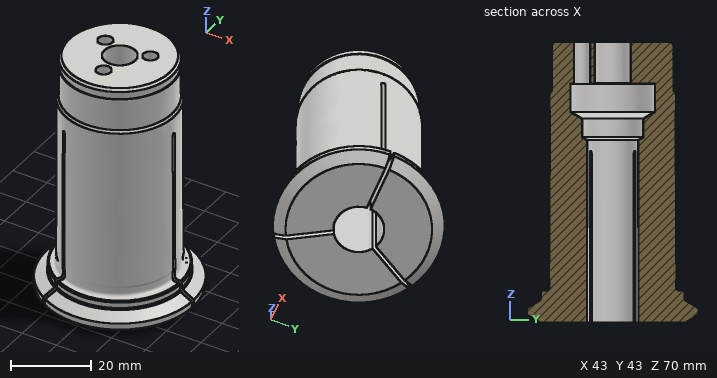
import cadquery as cq
import math

LENGTH = 70.0

FLANGE_R = 21.5
FLANGE_BEVEL_DEG = 30.0
RIM_BOTTOM_Z = 1.8
RIM_TOP_Z = 3.7
RIM_BOTTOM_BREAK = 0.5
RIM_TOP_BREAK = 0.3
RIM_BREAK_WIDTH = 0.1
COLLAR_R = 18.0
COLLAR_TOP_Z = 8.05
COLLAR_CHAMFER = 0.35
COLLAR_ROOT_HEIGHT = 0.5
COLLAR_ROOT_WIDTH = 0.175

NECK_R = 15.8
NECK_TOP_Z = 10.5
NECK_FILLET = 0.9
BODY_BOTTOM_R = 15.95
BODY_TOP_R = 15.8
BODY_TOP_Z = 57.1
BODY_EDGE_Z = 0.55
HEAD_R = 15.25
HEAD_BOTTOM_Z = 57.8
HEAD_CHAMFER = 0.7
HEAD_GROOVE_Z = 66.6
HEAD_GROOVE_HEIGHT = 0.5
HEAD_GROOVE_DEPTH = 0.15

BORE_R = 12.7 / 2
STEP_R = 7.55
STEP_BOTTOM_Z = 46.2
CHAMBER_R = 21.0 / 2
CHAMBER_BOTTOM_Z = 52.5
CHAMBER_TOP_Z = 59.5
BORE_CONE_DEG = 30.0

CENTRE_HOLE_R = 8.9 / 2
CENTRE_LIP_R = 4.2
SIDE_HOLE_COUNT = 3
SIDE_HOLE_D = 4.0
SIDE_HOLE_CIRCLE_R = 7.6
SIDE_HOLE_START_DEG = 30.0

SLOT_COUNT = 3
SLOT_W = 1.05
SLOT_TOP_Z = 52.15


def make_outside():
    """Turned outer shape, revolved from its half section."""
    bevel = math.tan(math.radians(FLANGE_BEVEL_DEG))
    rim_edge_r = FLANGE_R - RIM_BREAK_WIDTH
    cone_inner_r = COLLAR_R + COLLAR_ROOT_WIDTH
    cone_inner_z = RIM_TOP_Z + (rim_edge_r - cone_inner_r) * bevel
    bottom_r = rim_edge_r - RIM_BOTTOM_Z / bevel
    body_bottom_z = NECK_TOP_Z + BODY_EDGE_Z
    groove_top_z = HEAD_GROOVE_Z + HEAD_GROOVE_HEIGHT
    section = (
        cq.Workplane("XZ")
        .lineTo(bottom_r, 0)
        .lineTo(rim_edge_r, RIM_BOTTOM_Z)
        .lineTo(FLANGE_R, RIM_BOTTOM_Z + RIM_BOTTOM_BREAK)
        .lineTo(FLANGE_R, RIM_TOP_Z - RIM_TOP_BREAK)
        .lineTo(rim_edge_r, RIM_TOP_Z)
        .lineTo(cone_inner_r, cone_inner_z)
        .lineTo(COLLAR_R, cone_inner_z + COLLAR_ROOT_HEIGHT)
        .lineTo(COLLAR_R, COLLAR_TOP_Z - COLLAR_CHAMFER)
        .lineTo(COLLAR_R - COLLAR_CHAMFER, COLLAR_TOP_Z)
        .lineTo(NECK_R + NECK_FILLET, COLLAR_TOP_Z)
        .radiusArc((NECK_R, COLLAR_TOP_Z + NECK_FILLET), NECK_FILLET)
        .lineTo(NECK_R, NECK_TOP_Z)
        .lineTo(BODY_BOTTOM_R, body_bottom_z)
        .lineTo(BODY_TOP_R, BODY_TOP_Z)
        .lineTo(HEAD_R, HEAD_BOTTOM_Z)
        .lineTo(HEAD_R, HEAD_GROOVE_Z)
        .lineTo(HEAD_R - HEAD_GROOVE_DEPTH, groove_top_z)
        .lineTo(HEAD_R, groove_top_z)
        .lineTo(HEAD_R, LENGTH - HEAD_CHAMFER)
        .lineTo(HEAD_R - HEAD_CHAMFER, LENGTH)
        .lineTo(0, LENGTH)
        .close()
    )
    return section.revolve(360, (0, 0), (0, 1))


def make_inside():
    """Bore, chamber and centre hole as one revolved cutter with conical steps."""
    slope = math.tan(math.radians(BORE_CONE_DEG))
    step_cone = (STEP_R - BORE_R) * slope
    chamber_cone = (CHAMBER_R - STEP_R) * slope
    lip_cone = CENTRE_HOLE_R - CENTRE_LIP_R
    section = (
        cq.Workplane("XZ")
        .lineTo(BORE_R, 0)
        .lineTo(BORE_R, STEP_BOTTOM_Z - step_cone)
        .lineTo(STEP_R, STEP_BOTTOM_Z)
        .lineTo(STEP_R, CHAMBER_BOTTOM_Z - chamber_cone)
        .lineTo(CHAMBER_R, CHAMBER_BOTTOM_Z)
        .lineTo(CHAMBER_R, CHAMBER_TOP_Z)
        .lineTo(CENTRE_LIP_R, CHAMBER_TOP_Z)
        .lineTo(CENTRE_HOLE_R, CHAMBER_TOP_Z + lip_cone)
        .lineTo(CENTRE_HOLE_R, LENGTH)
        .lineTo(0, LENGTH)
        .close()
    )
    return section.revolve(360, (0, 0), (0, 1))


def make_side_holes():
    """Three holes through the end wall into the chamber."""
    return (
        cq.Workplane("XY", origin=(0, 0, CHAMBER_TOP_Z))
        .polarArray(SIDE_HOLE_CIRCLE_R, SIDE_HOLE_START_DEG, 360, SIDE_HOLE_COUNT)
        .circle(SIDE_HOLE_D / 2)
        .extrude(LENGTH - CHAMBER_TOP_Z)
    )


def make_slot():
    """One slot towards +X, from the bore out through shank and flange."""
    roof_start_z = SLOT_TOP_Z - SLOT_W / 2 * math.sqrt(2) - BODY_TOP_R
    reach = FLANGE_R + SLOT_W
    slab = (
        cq.Workplane("XZ")
        .lineTo(reach, 0)
        .lineTo(reach, roof_start_z + reach)
        .lineTo(0, roof_start_z)
        .close()
        .extrude(SLOT_W / 2, both=True)
    )
    roof = cq.Solid.makeCylinder(
        SLOT_W / 2, reach * math.sqrt(2), cq.Vector(0, 0, roof_start_z), cq.Vector(1, 0, 1)
    )
    return slab.union(cq.Workplane(roof))


result = make_outside().cut(make_inside()).cut(make_side_holes())
slot = make_slot()
for index in range(SLOT_COUNT):
    result = result.cut(slot.rotate((0, 0, 0), (0, 0, 1), index * 360 / SLOT_COUNT))